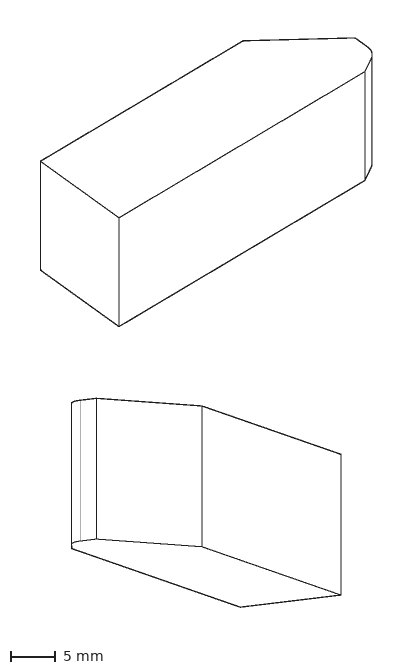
import cadquery as cq
import math

width = 13.0
length = 40.0
height = 16.0

long_bevel_width = 8.0
long_bevel_angle = 50.0
short_bevel_length = 3.1
short_bevel_angle = 60.0
nose_radius = 2.0

long_bevel_length = long_bevel_width * math.tan(math.radians(long_bevel_angle))
short_bevel_width = short_bevel_length / math.tan(math.radians(short_bevel_angle))
nose_corner_x = width - short_bevel_width

bar = (
    cq.Workplane("XY")
    .polyline([
        (0, 0),
        (width, 0),
        (width, length - short_bevel_length),
        (nose_corner_x, length),
        (long_bevel_width, length),
        (0, length - long_bevel_length),
    ])
    .close()
    .extrude(height)
)

nose_edge = cq.selectors.NearestToPointSelector((nose_corner_x, length, height / 2))
result = bar.edges("|Z").edges(nose_edge).fillet(nose_radius)